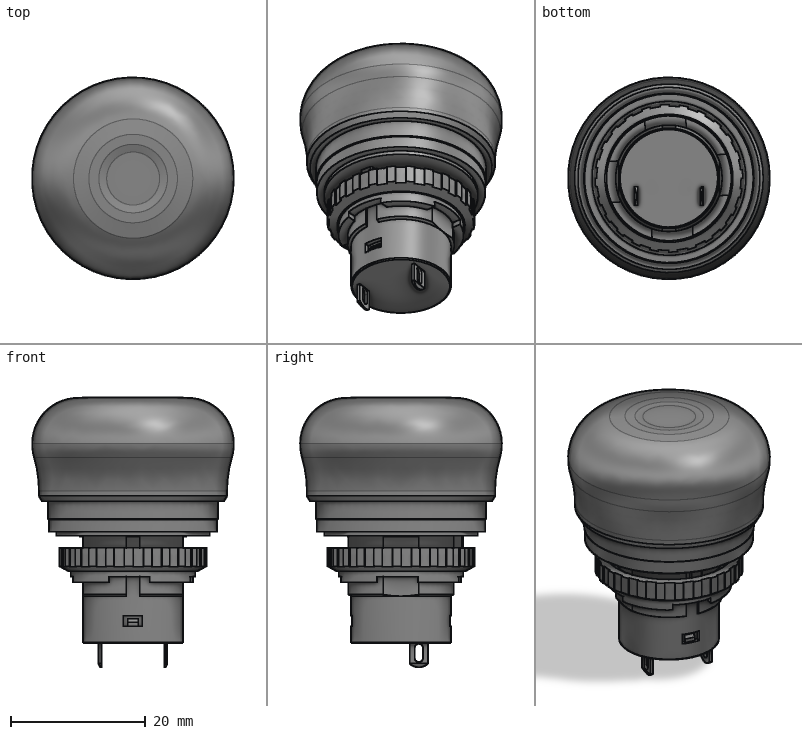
import cadquery as cq
import math

BUTTON_TOP_Z = 40.1
BUTTON_BOTTOM_Z = 24.62
DISH_FLOOR_RADIUS = 3.93
DISH_RIM_RADIUS = 5.1
DISH_DEPTH = 0.1
TOP_FLAT_RADIUS = 6.58
CROWN_EDGE_RADIUS = 8.85
CROWN_EDGE_Z = 39.98
BUTTON_RADIUS = 15.0
WIDEST_Z = 33.25
FLARE_RADIUS = 14.7
FLARE_Z = 31.2
SKIRT_RADIUS = 14.0
SKIRT_TOP_Z = 26.2
SKIRT_BOTTOM_Z = 25.45
UNDERSIDE_RADIUS = 13.5

BEZEL_RADIUS = 12.65
BEZEL_STEP_Z = 22.05
BEZEL_CHAMFER = 0.12
LOWER_BEZEL_RADIUS = BEZEL_RADIUS - BEZEL_CHAMFER
LOWER_BEZEL_BOTTOM_Z = 20.15
GASKET_RADIUS = 11.43
GASKET_BOTTOM_Z = 19.53
BARREL_COLLAR_Z = 19.4
BARREL_DIAMETER = 15.8
BARREL_RADIUS = BARREL_DIAMETER / 2
BARREL_BOTTOM_Z = 10.6
BARREL_CHAMFER = 0.25
BLOCK_DIAMETER = 14.88
BLOCK_RADIUS = BLOCK_DIAMETER / 2
BLOCK_BOTTOM_Z = 3.55
BLOCK_CHAMFER = 0.2
KEYWAY_WIDTH = 2.05
LUG_REACH = 9.22
LUG_CHAMFER = 0.25

WINDOW_WIDTH = 2.8
WINDOW_BOTTOM_Z = 6.15
WINDOW_TOP_Z = 7.7
WINDOW_FLOOR_RADIUS = 6.7
LATCH_WIDTH = 1.6
LATCH_REACH = 7.0
LATCH_EDGE_Z = 6.7
LATCH_TOP_Z = 7.2

TERMINAL_INNER_X = 4.65
TERMINAL_THICKNESS = 0.5
TERMINAL_Y = 2.65
TERMINAL_WIDTH = 2.75
TERMINAL_TIP_RISE = 0.6
TERMINAL_BEVEL = 0.3
TERMINAL_EDGE_CHAMFER = 0.25
EYELET_WIDTH = 1.2
EYELET_BOTTOM_Z = 0.8
EYELET_TOP_Z = 3.5

NUT_TOP_Z = 17.72
NUT_RADIUS = 10.95
KNURL_BOTTOM_Z = 15.05
CONE_BOTTOM_RADIUS = 9.5
CONE_BOTTOM_Z = 14.25
COLLAR_RADIUS = 9.25
COLLAR_BOTTOM_Z = 12.65
SLOT_TOP_Z = 13.47
SLOT_WIDTH = 6.1
SLOT_ANGLE = -3.6
COUNTERBORE_RADIUS = 9.5
COUNTERBORE_DEPTH = 1.2
COUNTERBORE_FLOOR_Z = NUT_TOP_Z - COUNTERBORE_DEPTH
GROOVE_COUNT = 24
GROOVE_DEPTH = 0.25
GROOVE_SPAN = 8.2
FIRST_GROOVE_ANGLE = -85.8


def revolved(profile):
    """Turn a closed (radius, z) profile about the Z axis."""
    return profile.close().revolve(360, (0, 0, 0), (0, 1, 0))


def cylinder(radius, bottom_z, top_z):
    return cq.Workplane("XY").workplane(offset=bottom_z).circle(radius).extrude(top_z - bottom_z)


def box(width, depth, bottom_z, top_z):
    return cq.Workplane("XY").workplane(offset=bottom_z).rect(width, depth).extrude(top_z - bottom_z)


def make_button():
    profile = (
        cq.Workplane("XZ")
        .moveTo(0, BUTTON_BOTTOM_Z)
        .lineTo(UNDERSIDE_RADIUS, BUTTON_BOTTOM_Z)
        .lineTo(SKIRT_RADIUS, SKIRT_BOTTOM_Z)
        .lineTo(SKIRT_RADIUS, SKIRT_TOP_Z)
        .tangentArcPoint((FLARE_RADIUS, FLARE_Z), relative=False)
        .tangentArcPoint((BUTTON_RADIUS, WIDEST_Z), relative=False)
        .tangentArcPoint((CROWN_EDGE_RADIUS, CROWN_EDGE_Z), relative=False)
        .lineTo(TOP_FLAT_RADIUS, BUTTON_TOP_Z)
        .lineTo(DISH_RIM_RADIUS, BUTTON_TOP_Z)
        .lineTo(DISH_FLOOR_RADIUS, BUTTON_TOP_Z - DISH_DEPTH)
        .lineTo(0, BUTTON_TOP_Z - DISH_DEPTH)
    )
    return revolved(profile)


def make_bezel():
    profile = (
        cq.Workplane("XZ")
        .moveTo(0, GASKET_BOTTOM_Z)
        .lineTo(GASKET_RADIUS, GASKET_BOTTOM_Z)
        .lineTo(GASKET_RADIUS, LOWER_BEZEL_BOTTOM_Z)
        .lineTo(LOWER_BEZEL_RADIUS, LOWER_BEZEL_BOTTOM_Z)
        .lineTo(LOWER_BEZEL_RADIUS, BEZEL_STEP_Z - BEZEL_CHAMFER)
        .lineTo(BEZEL_RADIUS, BEZEL_STEP_Z)
        .lineTo(BEZEL_RADIUS, BUTTON_BOTTOM_Z)
        .lineTo(0, BUTTON_BOTTOM_Z)
    )
    return revolved(profile)


def make_barrel():
    """Sleeve with flats on its left and right, and keyways at its front and back."""
    sleeve = cylinder(BARREL_RADIUS, BARREL_BOTTOM_Z, BARREL_COLLAR_Z)
    sleeve = sleeve.faces("<Z").chamfer(BARREL_CHAMFER, BARREL_RADIUS - BLOCK_RADIUS)
    between_flats = box(BLOCK_DIAMETER, BARREL_DIAMETER, BARREL_BOTTOM_Z, BARREL_COLLAR_Z)
    keyways = box(KEYWAY_WIDTH, BARREL_DIAMETER, BARREL_BOTTOM_Z, BARREL_COLLAR_Z)
    collar = cylinder(BARREL_RADIUS, BARREL_COLLAR_Z, GASKET_BOTTOM_Z)
    return sleeve.intersect(between_flats).cut(keyways).union(collar)


def make_lug():
    """Anti-rotation lug behind the barrel, reaching down to the floor of the nut's counterbore."""
    bar = box(KEYWAY_WIDTH, 2 * LUG_REACH, COUNTERBORE_FLOOR_Z, GASKET_BOTTOM_Z)
    front_half = bar.translate((0, -LUG_REACH, 0))
    return bar.edges("|Z").chamfer(LUG_CHAMFER).cut(front_half)


def make_windows():
    """Shallow recesses in the block wall, each leaving a sloped latch standing on its floor."""
    opening = box(WINDOW_WIDTH, BARREL_DIAMETER, WINDOW_BOTTOM_Z, WINDOW_TOP_Z)
    core = cylinder(WINDOW_FLOOR_RADIUS, WINDOW_BOTTOM_Z, WINDOW_TOP_Z)
    latches = (
        cq.Workplane("YZ")
        .moveTo(-LATCH_REACH, WINDOW_BOTTOM_Z)
        .lineTo(LATCH_REACH, WINDOW_BOTTOM_Z)
        .lineTo(LATCH_REACH, LATCH_EDGE_Z)
        .lineTo(WINDOW_FLOOR_RADIUS, LATCH_TOP_Z)
        .lineTo(-WINDOW_FLOOR_RADIUS, LATCH_TOP_Z)
        .lineTo(-LATCH_REACH, LATCH_EDGE_Z)
        .close()
        .extrude(LATCH_WIDTH / 2, both=True)
    )
    return opening.cut(core).cut(latches)


def make_terminal(side):
    """Flat solder tag with a rounded, bevelled tip and an eyelet; side is -1 (left) or 1 (right).

    The right tag also has its front inner edge chamfered.
    """
    half_width = TERMINAL_WIDTH / 2
    tag = (
        cq.Workplane("YZ")
        .moveTo(-half_width, BLOCK_BOTTOM_Z)
        .lineTo(-half_width, TERMINAL_TIP_RISE)
        .threePointArc((0, 0), (half_width, TERMINAL_TIP_RISE))
        .lineTo(half_width, BLOCK_BOTTOM_Z)
        .close()
        .extrude(TERMINAL_THICKNESS)
    )
    eyelet = (
        cq.Workplane("YZ")
        .center(0, (EYELET_BOTTOM_Z + EYELET_TOP_Z) / 2)
        .slot2D(EYELET_TOP_Z - EYELET_BOTTOM_Z, EYELET_WIDTH, 90)
        .extrude(TERMINAL_THICKNESS)
    )
    bevel = (
        cq.Workplane("XZ")
        .moveTo(TERMINAL_THICKNESS, TERMINAL_TIP_RISE)
        .lineTo(TERMINAL_THICKNESS, 0)
        .lineTo(TERMINAL_THICKNESS - TERMINAL_BEVEL, 0)
        .close()
        .extrude(half_width, both=True)
    )
    tag = tag.cut(eyelet).cut(bevel).translate((TERMINAL_INNER_X, TERMINAL_Y, 0))
    if side < 0:
        return tag.mirror("YZ")
    front_inner_edge = (
        cq.Workplane("XY")
        .moveTo(TERMINAL_INNER_X, TERMINAL_Y - half_width)
        .lineTo(TERMINAL_INNER_X + TERMINAL_EDGE_CHAMFER, TERMINAL_Y - half_width)
        .lineTo(TERMINAL_INNER_X, TERMINAL_Y - half_width + TERMINAL_EDGE_CHAMFER)
        .close()
        .extrude(BLOCK_BOTTOM_Z)
    )
    return tag.cut(front_inner_edge)


def make_housing():
    block = cylinder(BLOCK_RADIUS, BLOCK_BOTTOM_Z, GASKET_BOTTOM_Z).faces("<Z").chamfer(BLOCK_CHAMFER)
    housing = block.cut(make_windows()).union(make_barrel()).union(make_bezel()).union(make_lug())
    for side in (-1, 1):
        housing = housing.union(make_terminal(side))
    return housing


def make_groove(angle):
    """Sector-shaped knurl groove centred on the given angle."""
    floor_radius = NUT_RADIUS - GROOVE_DEPTH
    outer_radius = NUT_RADIUS + GROOVE_DEPTH
    half_span = math.radians(GROOVE_SPAN / 2)
    cosine = math.cos(half_span)
    sine = math.sin(half_span)
    groove = (
        cq.Workplane("XY")
        .workplane(offset=CONE_BOTTOM_Z)
        .moveTo(floor_radius * cosine, -floor_radius * sine)
        .lineTo(outer_radius * cosine, -outer_radius * sine)
        .lineTo(outer_radius * cosine, outer_radius * sine)
        .lineTo(floor_radius * cosine, floor_radius * sine)
        .threePointArc((floor_radius, 0), (floor_radius * cosine, -floor_radius * sine))
        .close()
        .extrude(NUT_TOP_Z - CONE_BOTTOM_Z)
    )
    return groove.rotate((0, 0, 0), (0, 0, 1), angle)


def make_nut():
    profile = (
        cq.Workplane("XZ")
        .moveTo(BARREL_RADIUS, COLLAR_BOTTOM_Z)
        .lineTo(COLLAR_RADIUS, COLLAR_BOTTOM_Z)
        .lineTo(COLLAR_RADIUS, CONE_BOTTOM_Z)
        .lineTo(CONE_BOTTOM_RADIUS, CONE_BOTTOM_Z)
        .lineTo(NUT_RADIUS, KNURL_BOTTOM_Z)
        .lineTo(NUT_RADIUS, NUT_TOP_Z)
        .lineTo(COUNTERBORE_RADIUS, NUT_TOP_Z)
        .lineTo(COUNTERBORE_RADIUS, COUNTERBORE_FLOOR_Z)
        .lineTo(BARREL_RADIUS, COUNTERBORE_FLOOR_Z)
    )
    nut = revolved(profile)
    for i in range(GROOVE_COUNT):
        nut = nut.cut(make_groove(FIRST_GROOVE_ANGLE + i * 360 / GROOVE_COUNT))
    for quarter_turn in (0, 90):
        slot = box(SLOT_WIDTH, 2 * NUT_RADIUS, COLLAR_BOTTOM_Z, SLOT_TOP_Z)
        nut = nut.cut(slot.rotate((0, 0, 0), (0, 0, 1), SLOT_ANGLE + quarter_turn))
    return nut


button = make_button()
housing = make_housing()
nut = make_nut()

result = cq.Compound.makeCompound([button.val(), housing.val(), nut.val()])